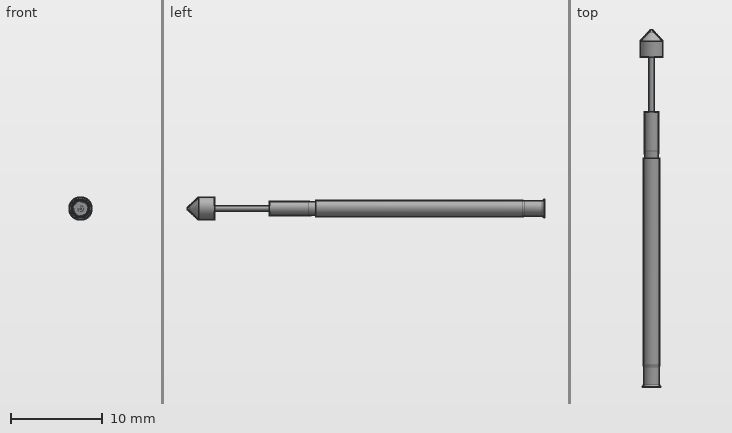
import cadquery as cq
import math

total_length = 39.0
lip_length = 0.08
tail_end = 2.25
barrel_start = 2.5
barrel_end = 25.0
neck_end = 25.8
sleeve_end = 30.03
head_start = 36.0
head_shoulder = 37.75
nose_start = 38.7

end_face_radius = 0.85
flare_radius = 1.0
tail_radius = 0.85
barrel_radius = 0.9
neck_radius = 0.75
sleeve_radius = 0.78
plunger_radius = 0.3
head_radius = 1.25
nose_radius = 0.35
tip_radius = 0.08

flare_curve_radius = 0.3
flare_height = flare_radius - tail_radius
flare_length = math.sqrt(flare_curve_radius**2 - (flare_curve_radius - flare_height) ** 2)
flare_end = lip_length + flare_length
half_angle = math.acos(1 - flare_height / flare_curve_radius) / 2
flare_middle = (
    tail_radius + flare_curve_radius * (1 - math.cos(half_angle)),
    flare_end - flare_curve_radius * math.sin(half_angle),
)

body_outline = [
    (tail_radius, tail_end),
    (barrel_radius, barrel_start),
    (barrel_radius, barrel_end),
    (neck_radius, barrel_end),
    (sleeve_radius, neck_end),
    (sleeve_radius, sleeve_end),
    (plunger_radius, sleeve_end),
    (plunger_radius, head_start),
    (head_radius, head_start),
    (head_radius, head_shoulder),
    (nose_radius, nose_start),
    (tip_radius, total_length),
    (0, total_length),
]

half_profile = (
    cq.Workplane("XY")
    .lineTo(end_face_radius, 0)
    .lineTo(flare_radius, lip_length)
    .threePointArc(flare_middle, (tail_radius, flare_end))
    .polyline(body_outline, includeCurrent=True)
    .close()
)

probe = half_profile.revolve(360, (0, 0, 0), (0, 1, 0))
result = probe.translate((0, -total_length / 2, 0))